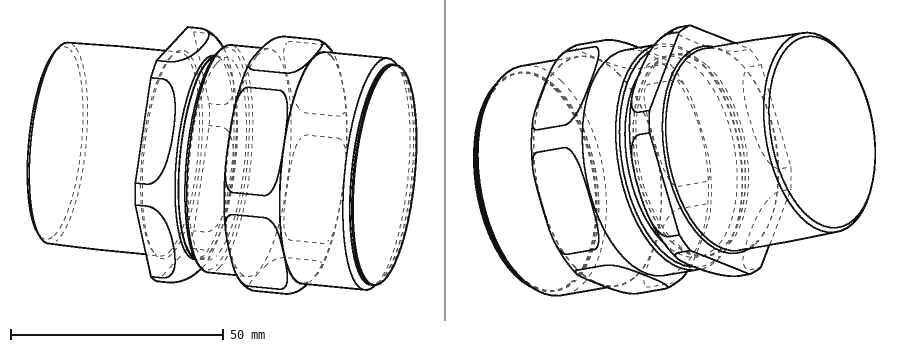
import cadquery as cq
import math


across_flats = 55.0
corner_diameter = 60.6
corner_radius = corner_diameter / 2

lead_chamfer = 0.8
end_face_radius = 22.8
lead_radius = 47.6 / 2
shank_radius = 48.25 / 2
lead_end = 13.8
flare_start = 28.2
flare_size = 0.6
entry_hex_start = flare_start + flare_size
entry_hex_end = 36.7
entry_hex_rounding = 5.1
collar_end = 37.55

neck_radius = 47.9 / 2
sleeve_radius = 53.9 / 2
sleeve_start = 39.8
sleeve_chamfer = 0.65

nut_start = 49.9
nut_hex_end = 63.4
nut_hex_rounding = 3.0
barrel_radius = 54.9 / 2
nut_end = 80.3
barrel_chamfer = 1.3

overall_length = 81.1
lip_radius = 52.15 / 2
lip_length = 0.3
rim_radius = 25.95


def turned(profile):
    """Revolve a closed (X, radius) profile about the X axis."""
    return profile.close().revolve(360, (0, 0, 0), (1, 0, 0))


def cylinder(start, end, radius):
    """Round bar along X."""
    return cq.Workplane("YZ", origin=(start, 0, 0)).circle(radius).extrude(end - start)


def hexagon(start, end, rounding, round_start):
    """Hexagonal collar, corners on Y, trimmed by a turned envelope with rounded ends."""
    point_diameter = across_flats / math.cos(math.pi / 6)
    prism = cq.Workplane("YZ", origin=(start, 0, 0)).polygon(6, point_diameter).extrude(end - start)
    envelope = cylinder(start, end, corner_radius).faces(">X").edges().fillet(rounding)
    if round_start:
        envelope = envelope.faces("<X").edges().fillet(rounding)
    return prism.intersect(envelope)


def make_entry_body():
    """Closed threaded end with its hexagon and collar."""
    shank = turned(
        cq.Workplane("XY")
        .moveTo(0, 0)
        .lineTo(0, end_face_radius)
        .lineTo(lead_chamfer, lead_radius)
        .lineTo(lead_end, shank_radius)
        .lineTo(flare_start, shank_radius)
        .lineTo(entry_hex_start, shank_radius + flare_size)
        .lineTo(entry_hex_start, 0)
    )
    wrench_hex = hexagon(entry_hex_start, entry_hex_end, entry_hex_rounding, round_start=False)
    collar = cylinder(entry_hex_end, collar_end, shank_radius)
    return shank.union(wrench_hex).union(collar)


def make_middle_body():
    """Neck against the entry body, and the sleeve that the nut closes on."""
    neck = cylinder(collar_end, sleeve_start, neck_radius)
    sleeve = cylinder(sleeve_start, nut_start, sleeve_radius).faces("<X").edges().chamfer(sleeve_chamfer)
    return neck.union(sleeve)


def make_nut():
    """Hexagon and barrel, chamfered at the outer end."""
    wrench_hex = hexagon(nut_start, nut_hex_end, nut_hex_rounding, round_start=True)
    barrel = cylinder(nut_hex_end, nut_end, barrel_radius).faces(">X").edges().chamfer(barrel_chamfer)
    return wrench_hex.union(barrel)


def make_end_seal():
    """Seal showing past the end of the nut."""
    lip_start = overall_length - lip_length
    rim = cylinder(nut_end, lip_start, rim_radius)
    lip = cylinder(lip_start, overall_length, lip_radius)
    return rim.union(lip)


entry_body = make_entry_body()
middle_body = make_middle_body()
nut = make_nut()
end_seal = make_end_seal()

result = cq.Compound.makeCompound([entry_body.val(), middle_body.val(), nut.val(), end_seal.val()])